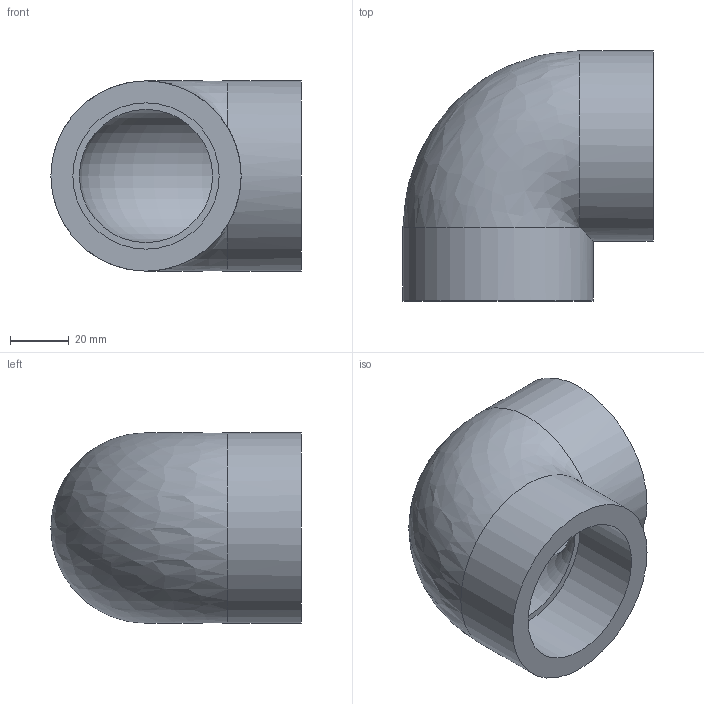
import cadquery as cq

body_diameter = 65.0
socket_diameter = 50.0
bore_diameter = 45.5
centre_to_end = 53.0
socket_depth = 25.0

bend_radius = centre_to_end - socket_depth

END_FACES = (
    cq.Plane(origin=(0, -centre_to_end, 0), xDir=(1, 0, 0), normal=(0, 1, 0)),
    cq.Plane(origin=(centre_to_end, 0, 0), xDir=(0, 1, 0), normal=(-1, 0, 0)),
)


def straight_ends(diameter):
    """Cylinders running from both open faces in to the bend."""
    first, second = (cq.Workplane(face).circle(diameter / 2).extrude(socket_depth) for face in END_FACES)
    return first.union(second)


def bend_section(diameter):
    """Round section at the start of the bend, cut off where it would cross the bend axis."""
    sketch = cq.Sketch().circle(diameter / 2)
    overhang = diameter / 2 - bend_radius
    if overhang > 0:
        beyond_axis = cq.Location(cq.Vector(bend_radius + overhang, 0, 0))
        sketch = sketch.push([beyond_axis]).rect(2 * overhang, 2 * diameter, mode="s")
    return sketch


def quarter_bend(diameter):
    """Quarter turn of the section about the vertical axis at the inside of the elbow."""
    start_plane = cq.Plane(origin=(0, -bend_radius, 0), xDir=(1, 0, 0), normal=(0, -1, 0))
    return (
        cq.Workplane(start_plane)
        .placeSketch(bend_section(diameter))
        .revolve(90, (bend_radius, 0, 0), (bend_radius, -1, 0))
    )


body = straight_ends(body_diameter).union(quarter_bend(body_diameter))
sockets = straight_ends(socket_diameter)
bend_bore = quarter_bend(bore_diameter)

result = body.cut(bend_bore).cut(sockets)